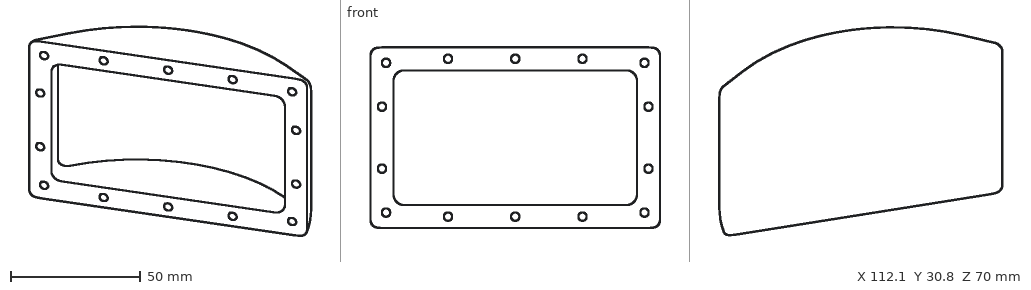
import cadquery as cq
import math

length = 112.1
depth = 30.8
height = 70.0

back_radius = 74.2
slope_angle = math.radians(38.1)
back_center_y = depth - back_radius

rim_width = 9.0
back_wall = 3.6
back_edge_radius = 9.0
end_edge_radius = 3.0
pocket_corner_radius = 4.0

hole_diameter = 3.3
hole_depth = 5.6
rim_hole_inset = 4.5
corner_hole_inset = 6.0
long_side_spacing = 26.0
short_side_spacing = 24.0


def outer_body():
    """Block with a curved back, rounded back edges and rounded borders around its flat ends."""
    half_length = length / 2
    tangent_x = back_radius * math.sin(slope_angle)
    tangent_y = back_center_y + back_radius * math.cos(slope_angle)
    end_y = tangent_y - (half_length - tangent_x) * math.tan(slope_angle)
    block = (
        cq.Workplane("XY")
        .moveTo(-half_length, 0)
        .lineTo(-half_length, end_y)
        .lineTo(-tangent_x, tangent_y)
        .threePointArc((0, depth), (tangent_x, tangent_y))
        .lineTo(half_length, end_y)
        .lineTo(half_length, 0)
        .close()
        .extrude(height / 2, both=True)
    )
    back_edges = block.faces("|Z").edges("not (|X or |Y)")
    block = back_edges.fillet(back_edge_radius)
    return block.faces("<X or >X").edges("not <Y").fillet(end_edge_radius)


def pocket():
    """Rectangular opening that ends on an arc concentric with the curved back."""
    half_length = length / 2 - rim_width
    floor_radius = back_radius - back_wall
    end_y = back_center_y + math.sqrt(floor_radius**2 - half_length**2)
    space = (
        cq.Workplane("XY")
        .moveTo(-half_length, 0)
        .lineTo(-half_length, end_y)
        .threePointArc((0, depth - back_wall), (half_length, end_y))
        .lineTo(half_length, 0)
        .close()
        .extrude(height / 2 - rim_width, both=True)
    )
    return space.edges("|Y").fillet(pocket_corner_radius)


def rim_holes():
    """Fourteen blind holes: four in the corners, three per long side, two per short side."""
    corner_x = length / 2 - corner_hole_inset
    corner_z = height / 2 - corner_hole_inset
    side_x = length / 2 - rim_hole_inset
    side_z = height / 2 - rim_hole_inset
    points = []
    for side in (-1, 1):
        points += [(x, side * corner_z) for x in (-corner_x, corner_x)]
        points += [(i * long_side_spacing, side * side_z) for i in (-1, 0, 1)]
        points += [(side * side_x, i * short_side_spacing / 2) for i in (-1, 1)]
    return cq.Workplane("XZ").pushPoints(points).circle(hole_diameter / 2).extrude(-hole_depth)


result = outer_body().cut(pocket()).cut(rim_holes())